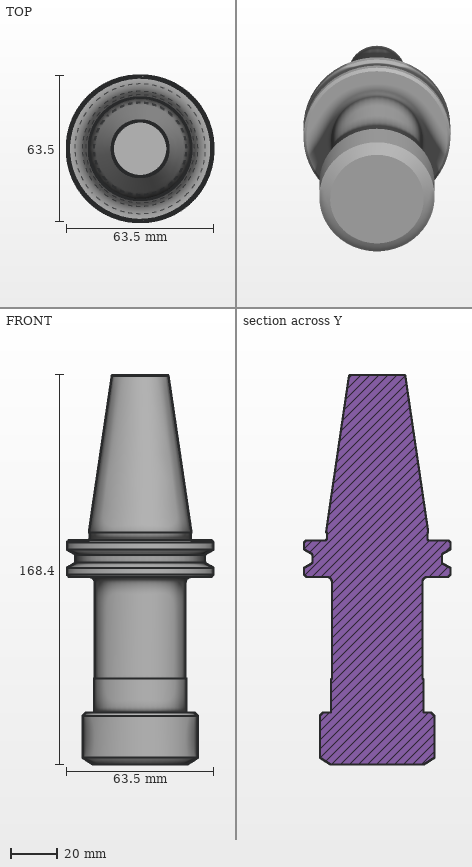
import cadquery as cq

total_height = 168.4

nut_radius = 25.0
nut_height = 22.5
nut_nose_radius = 20.2
nut_nose_height = 3.0
nut_top_chamfer = 1.5

collar_radius = 20.0
collar_top = 37.2
body_radius = 19.7
body_fillet = 2.0

flange_diameter = 63.5
flange_radius = flange_diameter / 2
flange_bottom = 81.0
flange_top = 97.0
flange_bottom_chamfer = 1.2
flange_top_chamfer = 1.0
groove_radius = 28.1
groove_floor_bottom = 87.0
groove_floor_top = 91.0
groove_flank_height = 2.0

taper_ratio = 7 / 24
taper_length = 68.2
taper_large_radius = 22.2
taper_end_chamfer = 0.5
neck_radius = 21.9
corner_fillet = 0.5
taper_bottom = total_height - taper_length
taper_small_radius = taper_large_radius - taper_length * taper_ratio / 2


def revolve_profile(points):
    """Close a radius-height outline onto the Z axis and revolve it."""
    return cq.Workplane("XZ").polyline(points).close().revolve(360, (0, 0, 0), (0, 1, 0))


def make_nut():
    return revolve_profile([
        (0, 0),
        (nut_nose_radius, 0),
        (nut_radius, nut_nose_height),
        (nut_radius, nut_height - nut_top_chamfer),
        (nut_radius - nut_top_chamfer, nut_height),
        (0, nut_height),
    ])


def make_body():
    """Collar and body, flaring in a concave fillet into the flange."""
    fillet_start = flange_bottom - body_fillet
    return (
        cq.Workplane("XZ")
        .moveTo(0, nut_height)
        .lineTo(collar_radius, nut_height)
        .lineTo(collar_radius, collar_top)
        .lineTo(body_radius, collar_top)
        .lineTo(body_radius, fillet_start)
        .radiusArc((body_radius + body_fillet, flange_bottom), body_fillet)
        .lineTo(0, flange_bottom)
        .close()
        .revolve(360, (0, 0, 0), (0, 1, 0))
    )


def make_flange():
    return revolve_profile([
        (0, flange_bottom),
        (flange_radius - flange_bottom_chamfer, flange_bottom),
        (flange_radius, flange_bottom + flange_bottom_chamfer),
        (flange_radius, groove_floor_bottom - groove_flank_height),
        (groove_radius, groove_floor_bottom),
        (groove_radius, groove_floor_top),
        (flange_radius, groove_floor_top + groove_flank_height),
        (flange_radius, flange_top - flange_top_chamfer),
        (flange_radius - flange_top_chamfer, flange_top),
        (0, flange_top),
    ])


def make_taper():
    return revolve_profile([
        (0, flange_top),
        (neck_radius, flange_top),
        (neck_radius, taper_bottom),
        (taper_large_radius, taper_bottom),
        (taper_small_radius, total_height - taper_end_chamfer),
        (taper_small_radius - taper_end_chamfer, total_height),
        (0, total_height),
    ])


def ring_selector(radius, height):
    """Select the circular edge of the given radius lying at the given height."""
    margin = 0.02
    reach = radius + margin
    return cq.selectors.BoxSelector(
        (-reach, -reach, height - margin),
        (reach, reach, height + margin),
        boundingbox=True,
    )


holder = make_nut().union(make_body()).union(make_flange()).union(make_taper())

inside_corners = [
    (groove_radius, groove_floor_bottom),
    (groove_radius, groove_floor_top),
    (neck_radius, flange_top),
]
for corner_radius, corner_height in inside_corners:
    holder = holder.edges(ring_selector(corner_radius, corner_height)).fillet(corner_fillet)

result = holder